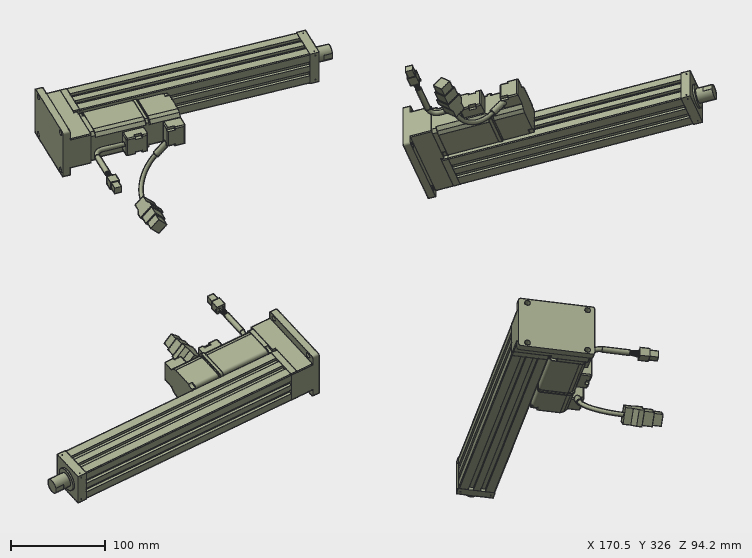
import cadquery as cq
import math


overall_length = 326.0
overall_width = 170.5
plate_thickness = 8.0
gearbox_top_y = 28.0
motor_seat_y = 31.5
tube_start_y = 35.5
cap_start_y = 295.7
cap_end_y = 306.0
collar_thickness = 2.0

body_size = 39.8
profile_size = 39.5
body_half = body_size / 2
profile_half = profile_size / 2
body_chamfer = 1.0
plate_width = 82.5
plate_height = 59.5
plate_corner_radius = 2.5
plate_center_x = plate_width / 2 - body_half
plate_right_x = plate_width - body_half
mount_hole_diameter = 6.0
mount_hole_pitch_x = 65.0
mount_hole_pitch_z = 50.2
mount_hole_shift_x = 1.0
mount_hole_center_x = plate_center_x + mount_hole_shift_x
slot_offset = 6.5
slot_width = 5.5
slot_depth = 3.3
cap_hole_diameter = 0.5
cap_hole_depth = 1.5
cap_hole_offset = 16.3
cap_hole_y = 302.0
collar_diameter = 26.0
rod_diameter = 16.3
flat_length = 9.8
flat_distance = 15.0

motor_left_x = 22.0
motor_width = 40.0
motor_height = 39.0
motor_right_x = motor_left_x + motor_width
motor_half = motor_height / 2
motor_corner_radius = 3.5
slope_width = 4.2
slope_drop = 2.0
stator_inset = 0.3
flange_thickness = 5.2
stator_length = 57.0
rear_flange_thickness = 3.5
seam_length = 1.5
seam_inset = 0.3
motor_end_y = 133.0
housing_inset = 0.5
screw_recess_radius = 3.0
screw_recess_length = 4.5
screw_recess_x = motor_left_x + 5.0

power_block_y = (66.8, 91.3)
power_block_right_x = 74.5
power_block_height = 23.5
power_notch_y = (77.3, 85.0)
power_notch_width = 4.2
encoder_block_y = (112.8, motor_end_y)
encoder_block_right_x = 76.0
encoder_block_height = 25.5
encoder_notch_y = (112.8, 121.5)
encoder_notch_width = 3.3
notch_depth = 3.3
block_chamfer = 1.3

power_cable_x = 67.5
power_cable_radius = 2.5
power_bend_radius = 9.8
power_lead_y = 33.0
sleeve_radius = 3.1
sleeve_end_x = 107.3
wire_radius = 0.5
wire_spread_start = 1.15
wire_spread_end = 2.3
power_plug_x = 117.7
power_plug_size = 10.0
power_plug_length = 10.8
power_plug_tip_size = 7.8
power_plug_tip_length = 9.5
latch_size = 1.3

half_diagonal = math.sqrt(0.5)
encoder_cable_x = 68.8
encoder_cable_radius = 2.45
encoder_gland_radius = 3.5
encoder_gland_end_y = 102.5
encoder_gland_embed = 3.3
encoder_root_y = encoder_block_y[0] + encoder_gland_embed
encoder_plug_y = 74.0
encoder_plug_z = -51.5
encoder_plug_x = 109.5
encoder_plug_end_x = overall_width - body_half
plug_shell_size = 18.3
plug_shell_thin = 13.0
plug_shell_x = (118.0, 124.0, 129.7)
plug_middle_size = 15.5
plug_middle_end_x = 140.8
plug_tip_size = 13.0

overlap = 0.5


def block(x_range, y_range, z_range):
    """Axis-aligned box between the given limits."""
    (x0, x1), (y0, y1), (z0, z1) = x_range, y_range, z_range
    return cq.Workplane("XY").box(x1 - x0, y1 - y0, z1 - z0, centered=False).translate((x0, y0, z0))


def cylinder(radius, start, end):
    """Round bar from one point to another."""
    axis = cq.Vector(*end) - cq.Vector(*start)
    return cq.Workplane(cq.Solid.makeCylinder(radius, axis.Length, cq.Vector(*start), axis))


def section_at(y):
    """Sketch plane across the rod axis, with local x along +X and local y along +Z, facing -Y."""
    return cq.Workplane("XZ", origin=(0, y, 0))


def make_plate():
    plate = section_at(0).center(plate_center_x, 0).rect(plate_width, plate_height)
    plate = plate.extrude(-plate_thickness).edges("|Y").fillet(plate_corner_radius)
    holes = section_at(0).center(mount_hole_center_x, 0)
    holes = holes.rect(mount_hole_pitch_x, mount_hole_pitch_z, forConstruction=True).vertices()
    return plate.cut(holes.circle(mount_hole_diameter / 2).extrude(-plate_thickness))


def make_gearbox():
    z_range = (-profile_half, profile_half)
    housing = block((-body_half, plate_right_x), (plate_thickness, gearbox_top_y), z_range)
    motor_seat = block((motor_left_x, plate_right_x), (plate_thickness, motor_seat_y), z_range)
    return housing.union(motor_seat).edges("|Y and (<X or >X)").chamfer(body_chamfer)


def make_tube():
    """End block and slotted tube profile, which is slightly smaller than the end block and the cap."""
    end_block = section_at(gearbox_top_y).rect(body_size, body_size)
    end_block = end_block.extrude(gearbox_top_y - tube_start_y).edges("|Y").chamfer(body_chamfer)
    tube = section_at(tube_start_y).rect(profile_size, profile_size)
    tube = tube.extrude(tube_start_y - cap_start_y).edges("|Y").chamfer(body_chamfer)
    for turn in range(4):
        for side in (-1, 1):
            slot_x = side * slot_offset
            slot = block(
                (slot_x - slot_width / 2, slot_x + slot_width / 2),
                (tube_start_y, cap_start_y),
                (profile_half - slot_depth, profile_half),
            )
            tube = tube.cut(slot.rotate((0, 0, 0), (0, 1, 0), 90 * turn))
    return end_block.union(tube)


def make_cap():
    cap = section_at(cap_start_y).rect(body_size, body_size).extrude(cap_start_y - cap_end_y)
    for turn in range(4):
        for side in (-1, 1):
            hole_x = side * cap_hole_offset
            hole = cylinder(
                cap_hole_diameter / 2,
                (hole_x, cap_hole_y, body_half - cap_hole_depth),
                (hole_x, cap_hole_y, body_half),
            )
            cap = cap.cut(hole.rotate((0, 0, 0), (0, 1, 0), 90 * turn))
    return cap


def make_rod():
    collar_end_y = cap_end_y + collar_thickness
    collar = cylinder(collar_diameter / 2, (0, cap_end_y, 0), (0, collar_end_y, 0))
    rod = cylinder(rod_diameter / 2, (0, cap_end_y, 0), (0, overall_length, 0))
    flats_y = (overall_length - flat_length, overall_length)
    for side in (0, 180):
        flat = block((flat_distance / 2, rod_diameter), flats_y, (-rod_diameter, rod_diameter))
        rod = rod.cut(flat.rotate((0, 0, 0), (0, 1, 0), side))
    return collar.union(rod)


def make_actuator():
    actuator = make_plate().union(make_gearbox())
    return actuator.union(make_tube()).union(make_cap()).union(make_rod())


def casing(start_y, end_y, inset, sloped):
    """Motor section with rounded left corners and, if sloped, tapering right corners."""
    left = motor_left_x + inset
    half = motor_half - inset
    shoulder = motor_right_x - motor_corner_radius
    drop = slope_drop if sloped else 0
    edge = half - drop
    profile = (
        section_at(start_y)
        .moveTo(left, -half)
        .lineTo(shoulder - slope_width, -half)
        .lineTo(shoulder, -edge)
        .lineTo(motor_right_x, motor_corner_radius - edge)
        .lineTo(motor_right_x, edge - motor_corner_radius)
        .lineTo(shoulder, edge)
        .lineTo(shoulder - slope_width, half)
        .lineTo(left, half)
        .close()
    )
    return profile.extrude(start_y - end_y).edges("|Y and <X").fillet(motor_corner_radius)


def screw_recess(start_y, edge_z):
    """Cutter for a screw head pocket on the left, round inside and open to the left, top or bottom."""
    end_y = start_y + screw_recess_length
    pocket = cylinder(
        screw_recess_radius, (screw_recess_x, start_y, edge_z), (screw_recess_x, end_y, edge_z)
    )
    opening = block(
        (motor_left_x - overlap, screw_recess_x),
        (start_y, end_y),
        (edge_z - screw_recess_radius, edge_z + screw_recess_radius),
    )
    return pocket.union(opening)


def make_casing():
    stator_start = motor_seat_y + flange_thickness
    stator_end = stator_start + stator_length
    seam_start = stator_end + rear_flange_thickness
    housing_start = seam_start + seam_length
    body = casing(motor_seat_y, stator_start, 0, False)
    body = body.union(casing(stator_start, stator_end, stator_inset, True))
    body = body.union(casing(stator_end, seam_start, 0, False))
    body = body.union(casing(seam_start, housing_start, housing_inset + seam_inset, True))
    body = body.union(casing(housing_start, motor_end_y, housing_inset, True))
    for start_y in (motor_seat_y, motor_end_y - screw_recess_length):
        for side in (-1, 1):
            body = body.cut(screw_recess(start_y, side * motor_half))
    return body


def outlet_block(right_x, y_range, height, notch_y, notch_width):
    """Cable outlet on the motor's +X side, notched at the outer top and bottom edges."""
    half = height / 2
    outlet = block((motor_right_x - overlap, right_x), y_range, (-half, half))
    outlet = outlet.edges(">X or <Y").chamfer(block_chamfer)
    for z_range in ((half - notch_depth, half), (-half, notch_depth - half)):
        outlet = outlet.cut(block((right_x - notch_width, right_x), notch_y, z_range))
    return outlet


def make_power_cable():
    bend_y = power_lead_y + power_bend_radius
    bend_x = power_cable_x + power_bend_radius
    arc_inset = power_bend_radius * (1 - half_diagonal)
    path = (
        cq.Workplane("XY")
        .moveTo(power_cable_x, power_block_y[0] + overlap)
        .lineTo(power_cable_x, bend_y)
        .threePointArc((power_cable_x + arc_inset, power_lead_y + arc_inset), (bend_x, power_lead_y))
    )
    start = section_at(power_block_y[0] + overlap).center(power_cable_x, 0)
    cable = start.circle(power_cable_radius).sweep(path)
    sleeve = cylinder(sleeve_radius, (bend_x, power_lead_y, 0), (sleeve_end_x, power_lead_y, 0))
    cable = cable.union(sleeve)
    for side_y in (-1, 1):
        for side_z in (-1, 1):
            wire = cylinder(
                wire_radius,
                (
                    sleeve_end_x - overlap,
                    power_lead_y + side_y * wire_spread_start,
                    side_z * wire_spread_start,
                ),
                (
                    power_plug_x + overlap,
                    power_lead_y + side_y * wire_spread_end,
                    side_z * wire_spread_end,
                ),
            )
            cable = cable.union(wire)
    return cable


def make_power_plug():
    plug = cq.Workplane("YZ", origin=(power_plug_x, power_lead_y, 0))
    plug = plug.rect(power_plug_size, power_plug_size).extrude(power_plug_length)
    plug = plug.faces(">X").workplane().rect(power_plug_tip_size, power_plug_tip_size)
    plug = plug.extrude(power_plug_tip_length)
    plug_side_y = power_lead_y + power_plug_size / 2
    latch = block(
        (power_plug_x, power_plug_x + latch_size),
        (plug_side_y - overlap, plug_side_y + latch_size),
        (-latch_size, latch_size),
    )
    return plug.union(latch)


def encoder_point(x, y):
    """Point of the 45 degree plane in which the encoder cable lies."""
    return (x, y, encoder_plug_z + y - encoder_plug_y)


def make_encoder_cable():
    root = encoder_point(encoder_cable_x, encoder_root_y)
    gland_end = encoder_point(encoder_cable_x, encoder_gland_end_y)
    gland = cylinder(encoder_gland_radius, root, gland_end)
    drop = encoder_gland_end_y - encoder_plug_y
    bend_radius = drop / half_diagonal
    arc_inset = 1 - half_diagonal
    arc_middle = encoder_point(
        encoder_cable_x + bend_radius * arc_inset,
        encoder_plug_y + drop * arc_inset,
    )
    arc_end = encoder_point(encoder_cable_x + bend_radius, encoder_plug_y)
    arc = cq.Edge.makeThreePointArc(*(cq.Vector(*p) for p in (gland_end, arc_middle, arc_end)))
    start_plane = cq.Plane(origin=gland_end, xDir=(1, 0, 0), normal=(0, -1, -1))
    bend = cq.Workplane(start_plane).circle(encoder_cable_radius)
    bend = bend.sweep(cq.Workplane(cq.Wire.assembleEdges([arc])))
    plug_entry = encoder_point(encoder_plug_x + overlap, encoder_plug_y)
    return gland.union(bend).union(cylinder(encoder_cable_radius, arc_end, plug_entry))


def plug_section(x):
    """Plane across the encoder plug, with local x along the cable's drop direction."""
    origin = encoder_point(x, encoder_plug_y)
    return cq.Workplane(cq.Plane(origin=origin, xDir=(0, -1, -1), normal=(1, 0, 0)))


def make_encoder_plug():
    taper_start, taper_end, shell_end = plug_shell_x
    half_wide = plug_shell_size / 2
    half_thin = plug_shell_thin / 2
    shell_plane = cq.Plane(
        origin=encoder_point(0, encoder_plug_y), xDir=(1, 0, 0), normal=(0, 1, -1)
    )
    shell = (
        cq.Workplane(shell_plane)
        .moveTo(encoder_plug_x, -half_thin)
        .lineTo(taper_start, -half_thin)
        .lineTo(taper_end, -half_wide)
        .lineTo(shell_end, -half_wide)
        .lineTo(shell_end, half_wide)
        .lineTo(taper_end, half_wide)
        .lineTo(taper_start, half_thin)
        .lineTo(encoder_plug_x, half_thin)
        .close()
        .extrude(half_wide, both=True)
    )
    middle = plug_section(shell_end).rect(plug_middle_size, plug_middle_size)
    middle = middle.extrude(plug_middle_end_x - shell_end)
    tip = plug_section(plug_middle_end_x).rect(plug_tip_size, plug_tip_size)
    return shell.union(middle).union(tip.extrude(encoder_plug_end_x - plug_middle_end_x))


def make_motor():
    motor = make_casing()
    motor = motor.union(
        outlet_block(
            power_block_right_x, power_block_y, power_block_height, power_notch_y, power_notch_width
        )
    )
    motor = motor.union(
        outlet_block(
            encoder_block_right_x,
            encoder_block_y,
            encoder_block_height,
            encoder_notch_y,
            encoder_notch_width,
        )
    )
    motor = motor.union(make_power_cable()).union(make_power_plug())
    return motor.union(make_encoder_cable()).union(make_encoder_plug())


actuator = make_actuator()
motor = make_motor()

result = cq.Compound.makeCompound([actuator.val(), motor.val()])